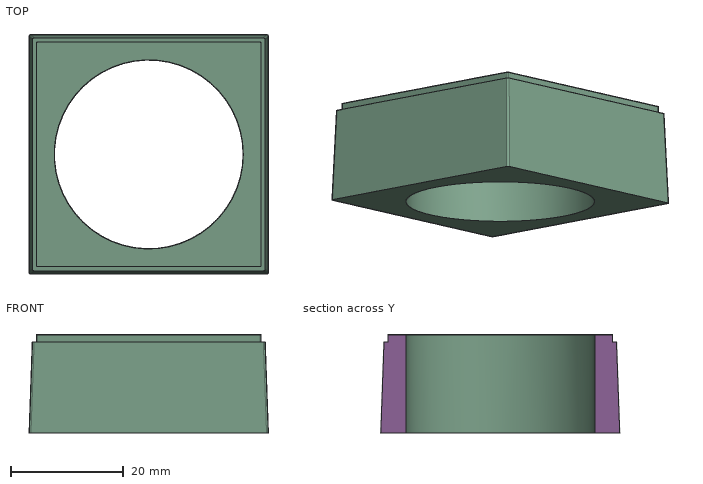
import cadquery as cq
import math

base_side = 42.5
total_height = 17.5
bore_diameter = 33.5

lip_side = 39.85
lip_height = 1.28

body_top_side = 41.35
body_height = total_height - lip_height
side_inset = (base_side - body_top_side) / 2
draft_angle = math.degrees(math.atan(side_inset / body_height))

body_corner_radius = 0.35
lip_corner_radius = 0.2


def tapered_body():
    """Square block whose four sides lean inward toward the top."""
    block = cq.Workplane("XY").rect(base_side, base_side).extrude(body_height, taper=draft_angle)
    upright_edges = block.edges("not(#Z)")
    return upright_edges.fillet(body_corner_radius)


def raised_lip():
    """Straight-sided square step on top of the body."""
    step = cq.Workplane("XY").workplane(offset=body_height).rect(lip_side, lip_side).extrude(lip_height)
    return step.edges("|Z").fillet(lip_corner_radius)


def bore():
    """Round opening through the full height."""
    return cq.Workplane("XY").circle(bore_diameter / 2).extrude(total_height)


result = tapered_body().union(raised_lip()).cut(bore())